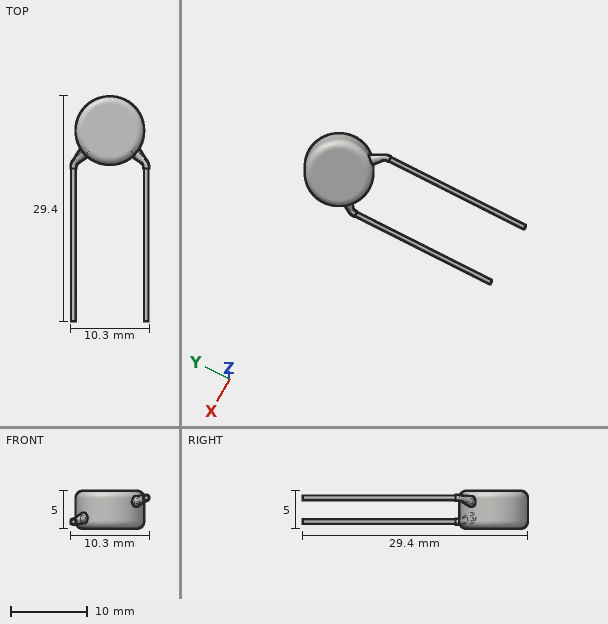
import cadquery as cq
import math

housing_diameter = 9.0
housing_height = 5.0
housing_fillet = 1.0

overall_length = 29.4
lead_pitch = 9.5
lead_diameter = 0.65
lead_height = 1.55
lead_tip_y = housing_diameter / 2 - overall_length

sleeve_diameter = 0.82
sleeve_end_y = -4.95
collar_length = 0.18
bend_radius = 1.0
bend_angle = 45.0
bend_tilt = 18.5
cone_length = 2.2
cone_base_diameter = 1.65

tilt = math.radians(bend_tilt)
inward = cq.Vector(-math.cos(tilt), 0, -math.sin(tilt))
bend_plane = cq.Plane(
    origin=(lead_pitch / 2, 0, lead_height),
    xDir=inward,
    normal=inward.cross(cq.Vector(0, 1, 0)),
)

angle = math.radians(bend_angle)
bend_start_y = sleeve_end_y + collar_length


def bend_point(turn):
    """Point on the bend after turning through the given angle in radians."""
    return (bend_radius * (1 - math.cos(turn)), bend_start_y + bend_radius * math.sin(turn))


bend_middle = bend_point(angle / 2)
bend_end = bend_point(angle)
cone_base = (
    bend_end[0] + cone_length * math.sin(angle),
    bend_end[1] + cone_length * math.cos(angle),
)


def rod(path, start_y, diameter):
    """Sweep a round section along a path that starts at start_y and runs along +Y."""
    section_plane = cq.Plane(
        origin=bend_plane.toWorldCoords((0, start_y)), xDir=inward, normal=(0, 1, 0)
    )
    return cq.Workplane(section_plane).circle(diameter / 2).sweep(path)


def make_lead():
    """Lead on the +X side: straight run, bend and inner end."""
    path = (
        cq.Workplane(bend_plane)
        .moveTo(0, lead_tip_y)
        .lineTo(0, bend_start_y)
        .threePointArc(bend_middle, bend_end)
        .lineTo(*cone_base)
    )
    return rod(path, lead_tip_y, lead_diameter)


def make_sleeve():
    """Coating around the lead on the +X side."""
    path = (
        cq.Workplane(bend_plane)
        .moveTo(0, sleeve_end_y)
        .lineTo(0, bend_start_y)
        .threePointArc(bend_middle, bend_end)
    )
    elbow = rod(path, sleeve_end_y, sleeve_diameter)
    cone_start = bend_plane.toWorldCoords(bend_end)
    cone_direction = bend_plane.toWorldCoords(cone_base) - cone_start
    cone = cq.Solid.makeCone(
        sleeve_diameter / 2, cone_base_diameter / 2, cone_length, cone_start, cone_direction
    )
    return elbow.union(cq.Workplane(cone))


def make_housing(leads):
    """Rounded disc with both sleeves, bored to receive the leads."""
    body = (
        cq.Workplane("XY", origin=(0, 0, -housing_height / 2))
        .circle(housing_diameter / 2)
        .extrude(housing_height)
        .faces("|Z")
        .edges()
        .fillet(housing_fillet)
    )
    for turn in lead_turns:
        body = body.union(make_sleeve().rotate((0, 0, 0), (0, 1, 0), turn))
    for lead in leads:
        body = body.cut(lead)
    return body


lead_turns = (0, 180)
leads = [make_lead().rotate((0, 0, 0), (0, 1, 0), turn) for turn in lead_turns]
housing = make_housing(leads)

result = cq.Compound.makeCompound([housing.val(), *[lead.val() for lead in leads]])